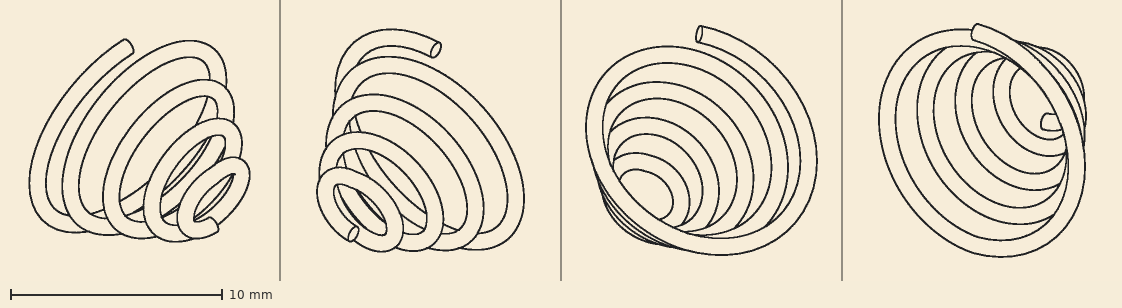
import cadquery as cq
import math

wire_diameter = 0.8
big_radius = 5.63
small_radius = 1.71
coil_length = 6.2
turns = 3.5
spiral_drop = 0.17

start_radius = big_radius - spiral_drop
end_radius = small_radius + spiral_drop
points_per_turn = 24


def spiral_point(fraction):
    """Point on the conical spiral, from the large end (0) to the small end (1)."""
    angle = 2 * math.pi * turns * fraction
    radius = start_radius + (end_radius - start_radius) * fraction
    return cq.Vector(
        coil_length * fraction,
        radius * math.sin(angle),
        -spiral_drop - radius * math.cos(angle),
    )


def flat_half_turn(x, radius):
    """Half circle on the -Y side, running from its top to its bottom."""
    return cq.Edge.makeThreePointArc(
        cq.Vector(x, 0, radius),
        cq.Vector(x, -radius, 0),
        cq.Vector(x, 0, -radius),
    )


def wire_along(path):
    """Round wire with square-cut ends, swept along one centreline edge."""
    start_plane = cq.Plane(origin=path.startPoint(), normal=path.tangentAt(0))
    return (
        cq.Workplane(start_plane)
        .circle(wire_diameter / 2)
        .sweep(cq.Workplane(obj=cq.Wire.assembleEdges([path])))
    )


def joint_ball(point):
    """Ball of the wire diameter, filling the slight bend between two lengths of wire."""
    return cq.Workplane(origin=point.toTuple()).sphere(wire_diameter / 2)


interval_count = round(turns * points_per_turn)
spiral = cq.Edge.makeSpline([spiral_point(i / interval_count) for i in range(interval_count + 1)])
big_end = flat_half_turn(0, big_radius)
small_end = flat_half_turn(coil_length, small_radius)

result = (
    wire_along(spiral)
    .union(joint_ball(spiral.startPoint()))
    .union(joint_ball(spiral.endPoint()))
    .union(wire_along(big_end))
    .union(wire_along(small_end))
)